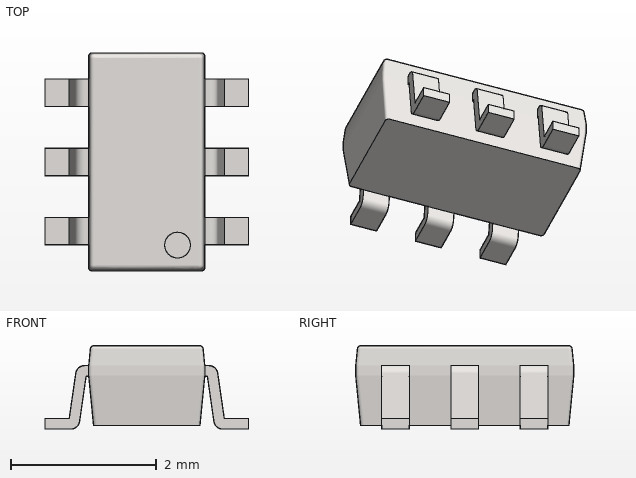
import cadquery as cq
import math

body_width = 1.6
body_length = 3.0
body_bottom = 0.05
overall_height = 1.15
draft_angle = 5.6
edge_radius = 0.05

lead_span = 2.8
lead_width = 0.38
lead_pitch = 0.95
leads_per_side = 3
lead_thickness = 0.15
lead_top = 0.875
lead_bend_radius = 0.125
leg_lean = 8.2
foot_length = 0.333

lead_underside = lead_top - lead_thickness

band_margin = 0.005
band_top = lead_top - band_margin
band_bottom = lead_underside + band_margin

mark_radius = 0.177
mark_x = 0.423
mark_y = -1.143
mark_depth = 0.003


def rounded_outline(height, inset):
    """Body outline at a height, drawn in from the band, with rounded corners."""
    return (
        cq.Sketch()
        .rect(body_width - 2 * inset, body_length - 2 * inset)
        .vertices()
        .fillet(edge_radius)
        .moved(cq.Location(cq.Vector(0, 0, height)))
    )


def tapered_block(band_face, end_face):
    """Block that narrows from a face of the band to a parallel end face."""
    inset = abs(end_face - band_face) * math.tan(math.radians(draft_angle))
    outlines = [rounded_outline(band_face, 0), rounded_outline(end_face, inset)]
    return cq.Workplane("XY").placeSketch(*outlines).loft()


def make_body():
    band = cq.Workplane("XY").placeSketch(rounded_outline(band_bottom, 0)).extrude(band_top - band_bottom)
    upper = tapered_block(band_top, overall_height)
    upper = upper.faces(">Z").edges().fillet(edge_radius)
    lower = tapered_block(band_bottom, body_bottom)
    return band.union(upper).union(lower)


def make_lead():
    """Lead on the +X side, centred on Y = 0."""
    lean = math.tan(math.radians(leg_lean))
    tip = lead_span / 2
    heel = tip - foot_length
    shoulder = heel - lead_underside * lean
    leg_thickness = lead_thickness / math.cos(math.radians(leg_lean))
    leg_inner_bottom = heel + lead_thickness * lean - leg_thickness
    leg_inner_top = leg_inner_bottom - lead_underside * lean
    root = body_width / 2 - edge_radius
    profile = [
        (tip, 0),
        (tip, lead_thickness),
        (heel, lead_thickness),
        (shoulder, lead_top),
        (root, lead_top),
        (root, lead_underside),
        (leg_inner_top, lead_underside),
        (leg_inner_bottom, 0),
    ]
    lead = cq.Workplane("XZ").polyline(profile).close().extrude(lead_width / 2, both=True)
    nearest = cq.selectors.NearestToPointSelector
    outer_bends = nearest((shoulder, 0, lead_top)) + nearest((leg_inner_bottom, 0, 0))
    return lead.edges("|Y").edges(outer_bends).fillet(lead_bend_radius)


result = make_body()

lead = make_lead()
for index in range(leads_per_side):
    y = (index - (leads_per_side - 1) / 2) * lead_pitch
    right_lead = lead.translate((0, y, 0))
    result = result.union(right_lead).union(right_lead.mirror("YZ"))

mark = (
    cq.Workplane("XY", origin=(mark_x, mark_y, overall_height - mark_depth))
    .circle(mark_radius)
    .extrude(mark_depth)
)
result = result.cut(mark)